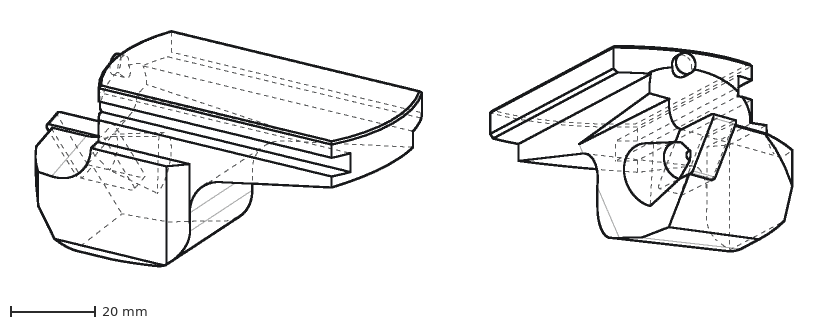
import cadquery as cq
import math

LENGTH = 95.3
TOP_Z = 45.0
PLATE_LEFT_X = 18.5
PLATE_FRONT_Y = 4.0
PLATE_BACK_Y = 41.5
PLATE_THICKNESS = 6.7
END_RADIUS = 40.0
END_CENTRE_Y = 25.1
TOP_CHAMFER = 0.6
BACK_CHAMFER = 1.0

GROOVE_BOTTOM_Z = 36.1
GROOVE_HEIGHT = 4.9
GROOVE_DEPTH = 4.6

PIN_DIAMETER = 5.15
PIN_LEFT_X = 16.4
PIN_Z = 41.0

BODY_BACK_Y = 32.8
HEAD_RIGHT_X = 49.9
HEAD_TOP_Z = 30.4
NECK_BOTTOM_Z = HEAD_TOP_Z / 2
BOTTOM_FLAT_END_X = 27.3
BOTTOM_SLOPE = 12.2
ARM_END_Z = 34.3
ARM_SLOPE = 10.2
BODY_FILLET = 10.0
CORNER_CHAMFER = 4.1
BOTTOM_EDGE_WIDTH = 5.5
BOTTOM_EDGE_HEIGHT = 4.6
BOTTOM_EDGE_BULGE = 0.3
NOSE_START_X = 10.1
NOSE_END = (2.1, 13.2)
NOSE_BULGE = 0.7

TIP = cq.Vector(-0.63, 25.2, 25.1)
SIDE_NORMAL = cq.Vector(-0.135, 1, 0.109)
RAKE_NORMAL = cq.Vector(0.085, -0.1, 1)

INSERT_SIDE = 15.5
INSERT_ANGLE = 55.0
INSERT_THICKNESS = 6.4
INSERT_NOSE_RADIUS = 0.8
RAKE_DROP = 0.8
RELIEF_SETBACK = 1.05
EDGE_BEVEL = 0.4
THROAT_RADIUS = 10.1
THROAT_CENTRE = 11.1
SIDE_CUT_TOP = 9.6

CLAMP_START = 10.2
CLAMP_AXIS_DROP = 8.1
CLAMP_NOSE_RADIUS = 1.1
CLAMP_SHOULDER_AT = 4.4
CLAMP_SHOULDER_RADIUS = 4.7
CLAMP_LENGTH = 16.9
CLAMP_RADIUS = 7.9

FAR = 114.4


def sin(degrees):
    return math.sin(math.radians(degrees))


def cos(degrees):
    return math.cos(math.radians(degrees))


def tan(degrees):
    return math.tan(math.radians(degrees))


def end_inset(y):
    """How far the round end lies inside its outermost point at this y."""
    return END_RADIUS - math.sqrt(END_RADIUS**2 - (y - END_CENTRE_Y) ** 2)


def cutting_frame(offset=0.0):
    """X runs along the insert, Y up from its top face, Z into the head from the tip's side face."""
    origin = TIP - SIDE_NORMAL.normalized() * offset
    return cq.Workplane(cq.Plane(origin, SIDE_NORMAL.cross(RAKE_NORMAL), SIDE_NORMAL * -1))


def plate_prism(bottom_z):
    front_inset = end_inset(PLATE_FRONT_Y)
    back_inset = end_inset(PLATE_BACK_Y)
    return (
        cq.Workplane("XY", origin=(0, 0, bottom_z))
        .moveTo(PLATE_LEFT_X + front_inset, PLATE_FRONT_Y)
        .lineTo(LENGTH - front_inset, PLATE_FRONT_Y)
        .threePointArc((LENGTH, END_CENTRE_Y), (LENGTH - back_inset, PLATE_BACK_Y))
        .lineTo(PLATE_LEFT_X + back_inset, PLATE_BACK_Y)
        .threePointArc((PLATE_LEFT_X, END_CENTRE_Y), (PLATE_LEFT_X + front_inset, PLATE_FRONT_Y))
        .close()
        .extrude(TOP_Z - bottom_z)
    )


def make_plate():
    plate = plate_prism(TOP_Z - PLATE_THICKNESS)
    return plate.faces("<Z").edges(">Y").chamfer(BACK_CHAMFER)


def make_neck():
    """The arm and neck below the plate, inside the plate's round ends."""
    slope_foot_z = ARM_END_Z - (LENGTH - HEAD_RIGHT_X) * tan(ARM_SLOPE)
    neck = (
        cq.Workplane("XZ", origin=(0, PLATE_FRONT_Y, 0))
        .moveTo(BOTTOM_FLAT_END_X, NECK_BOTTOM_Z)
        .lineTo(HEAD_RIGHT_X, NECK_BOTTOM_Z)
        .lineTo(HEAD_RIGHT_X, slope_foot_z)
        .lineTo(LENGTH, ARM_END_Z)
        .lineTo(LENGTH, TOP_Z)
        .lineTo(0, TOP_Z)
        .lineTo(0, NECK_BOTTOM_Z)
        .close()
        .extrude(PLATE_FRONT_Y - BODY_BACK_Y)
    )
    fillet_line = cq.selectors.NearestToPointSelector((HEAD_RIGHT_X, BODY_BACK_Y / 2, slope_foot_z))
    return neck.edges(fillet_line).fillet(BODY_FILLET).intersect(plate_prism(0))


def make_head():
    slope_end_z = (HEAD_RIGHT_X - BOTTOM_FLAT_END_X) * tan(BOTTOM_SLOPE)
    head = (
        cq.Workplane("XZ")
        .polyline([
            (0, 0),
            (BOTTOM_FLAT_END_X, 0),
            (HEAD_RIGHT_X, slope_end_z),
            (HEAD_RIGHT_X, HEAD_TOP_Z),
            (0, HEAD_TOP_Z),
        ])
        .close()
        .extrude(-BODY_BACK_Y)
        .edges(cq.selectors.NearestToPointSelector((HEAD_RIGHT_X, BODY_BACK_Y / 2, slope_end_z)))
        .fillet(BODY_FILLET)
    )
    return head.cut(corner_cut()).cut(bottom_edge_cut()).cut(nose_cut())


def corner_cut():
    """Upright chamfer on the front right corner of the head."""
    return (
        cq.Workplane("XY")
        .polyline([
            (HEAD_RIGHT_X - CORNER_CHAMFER, 0),
            (HEAD_RIGHT_X, 0),
            (HEAD_RIGHT_X, CORNER_CHAMFER),
        ])
        .close()
        .extrude(HEAD_TOP_Z)
    )


def bulged_middle(start, end, bulge):
    """The middle of the line from start to end, moved to its right by the bulge."""
    run_a = end[0] - start[0]
    run_b = end[1] - start[1]
    length = math.hypot(run_a, run_b)
    middle_a = (start[0] + end[0]) / 2 + bulge * run_b / length
    middle_b = (start[1] + end[1]) / 2 - bulge * run_a / length
    return (middle_a, middle_b)


def bottom_edge_cut():
    """Rounded bevel along the bottom front edge of the head."""
    start = (0, BOTTOM_EDGE_HEIGHT)
    end = (BOTTOM_EDGE_WIDTH, 0)
    return (
        cq.Workplane("YZ")
        .moveTo(*start)
        .threePointArc(bulged_middle(start, end, BOTTOM_EDGE_BULGE), end)
        .lineTo(0, 0)
        .close()
        .extrude(FAR)
    )


def nose_cut():
    """Upright round clearance on the front left corner of the head."""
    start = (NOSE_END[0], NOSE_END[1])
    end = (NOSE_START_X, 0)
    return (
        cq.Workplane("XY")
        .moveTo(*start)
        .threePointArc(bulged_middle(start, end, NOSE_BULGE), end)
        .lineTo(0, 0)
        .lineTo(0, NOSE_END[1])
        .close()
        .extrude(HEAD_TOP_Z)
    )


def throat_cut():
    """Cylinder for the chips, and the rake face that runs into it."""
    centre_height = THROAT_RADIUS - RAKE_DROP
    return (
        cutting_frame(-FAR / 2)
        .moveTo(-THROAT_RADIUS, -RAKE_DROP)
        .lineTo(THROAT_CENTRE, -RAKE_DROP)
        .threePointArc(
            (THROAT_CENTRE + THROAT_RADIUS, centre_height),
            (THROAT_CENTRE, centre_height + THROAT_RADIUS),
        )
        .lineTo(-THROAT_RADIUS, centre_height + THROAT_RADIUS)
        .close()
        .extrude(FAR)
    )


def relief_cut():
    """Everything in front of the sloping end face under the insert, with the bevel at its top."""
    top_x = RELIEF_SETBACK / sin(INSERT_ANGLE) + RAKE_DROP / tan(INSERT_ANGLE)
    reach = FAR / 2
    return (
        cutting_frame(-FAR / 2)
        .polyline([
            (top_x + EDGE_BEVEL, reach),
            (top_x + EDGE_BEVEL, -RAKE_DROP),
            (top_x + EDGE_BEVEL * cos(INSERT_ANGLE), -RAKE_DROP - EDGE_BEVEL * sin(INSERT_ANGLE)),
            (top_x + reach * cos(INSERT_ANGLE), -RAKE_DROP - reach * sin(INSERT_ANGLE)),
            (-reach, -reach),
            (-reach, reach),
        ])
        .close()
        .extrude(FAR)
    )


def side_cut():
    """Flat tilted clearance on the back of the head, up to its ceiling."""
    return (
        cutting_frame()
        .moveTo(-FAR / 2, SIDE_CUT_TOP)
        .rect(2 * FAR, -FAR, centered=False)
        .extrude(-FAR)
    )


def make_clamp():
    clamp = (
        cutting_frame()
        .polyline([
            (CLAMP_START, -CLAMP_AXIS_DROP),
            (CLAMP_START, CLAMP_NOSE_RADIUS - CLAMP_AXIS_DROP),
            (CLAMP_START + CLAMP_SHOULDER_AT, CLAMP_SHOULDER_RADIUS - CLAMP_AXIS_DROP),
            (CLAMP_START + CLAMP_LENGTH, CLAMP_RADIUS - CLAMP_AXIS_DROP),
            (CLAMP_START + CLAMP_LENGTH, -CLAMP_AXIS_DROP),
        ])
        .close()
        .revolve(360, (0, -CLAMP_AXIS_DROP), (1, -CLAMP_AXIS_DROP))
    )
    return clamp.intersect(side_cut())


def make_pin():
    return (
        cq.Workplane("YZ", origin=(PIN_LEFT_X, END_CENTRE_Y, PIN_Z))
        .circle(PIN_DIAMETER / 2)
        .extrude(2 * (PLATE_LEFT_X - PIN_LEFT_X))
    )


def groove_cut():
    return cq.Workplane("XY").box(LENGTH, GROOVE_DEPTH, GROOVE_HEIGHT, centered=False).translate(
        (0, PLATE_FRONT_Y, GROOVE_BOTTOM_Z)
    )


def make_insert():
    rise = INSERT_SIDE * sin(INSERT_ANGLE)
    lean = INSERT_SIDE * cos(INSERT_ANGLE)
    return (
        cutting_frame()
        .polyline([(0, 0), (INSERT_SIDE, 0), (INSERT_SIDE + lean, -rise), (lean, -rise)])
        .close()
        .extrude(INSERT_THICKNESS)
        .edges(cq.selectors.ParallelDirSelector(SIDE_NORMAL))
        .fillet(INSERT_NOSE_RADIUS)
    )


def make_holder(insert):
    holder = make_neck().union(make_plate()).union(make_head())
    holder = holder.faces(">Z").chamfer(TOP_CHAMFER)
    for removed in (groove_cut(), throat_cut(), relief_cut(), side_cut()):
        holder = holder.cut(removed)
    return holder.union(make_clamp()).union(make_pin()).cut(insert)


insert = make_insert()
holder = make_holder(insert)
result = cq.Compound.makeCompound([holder.val(), insert.val()])